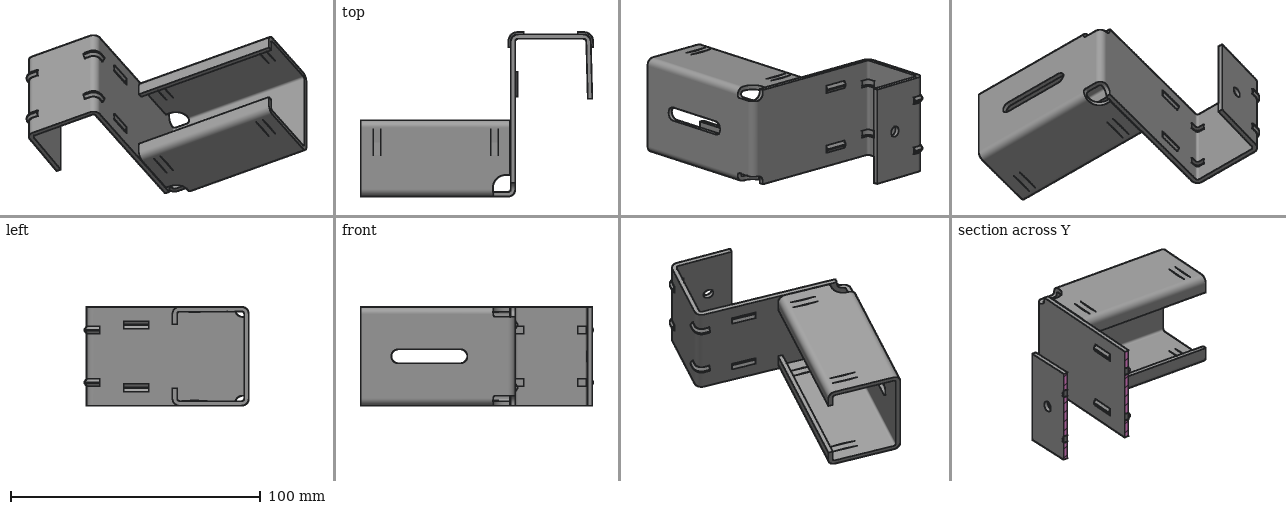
import cadquery as cq
import math

SHEET = 1.9
INNER_BEND = 1.0
OUTER_BEND = INNER_BEND + SHEET
HEIGHT = 39.6
HALF_HEIGHT = HEIGHT / 2

ARM_LENGTH = 60.0
ARM_DEPTH = 30.6
LIP_LENGTH = 7.0
FLANGE_GAP = 0.2

WALL_OUTSIDE = ARM_LENGTH
WALL_INSIDE = WALL_OUTSIDE + SHEET
HOOK_TOP = 65.0
HOOK_WIDTH = 32.16
LEG_LENGTH = 23.0
LEG_TILT = math.radians(1.5)

RELIEF_START = 53.0
RELIEF_LEVEL = HALF_HEIGHT - 4.0
STRIP_NOTCH_RADIUS = 1.0
FLANGE_RELIEF_DEPTH = 8.6
FLANGE_RELIEF_RADIUS = 5.0
WALL_NOTCH_DEPTH = 5.5
WALL_NOTCH_RADIUS = 3.1

SLOT_CENTER_X = 27.5
SLOT_LENGTH = 30.3
SLOT_WIDTH = 5.5

HOLE_DIAMETER = 4.2
HOLE_Y = 49.2

RIB_CREST = 0.4

HOOK_RIB_Z = 10.5
HOOK_RIB_TAIL = 2.4
HOOK_RIB_BASE = 2.9
HOOK_RIB_HEIGHT = 0.92
HOOK_POCKET_SKIN = 0.15

WALL_RIB_Z = 12.55
WALL_RIB_Y = 45.05
WALL_RIB_LENGTH = 10.0
WALL_RIB_BASE = 3.1
WALL_RIB_HEIGHT = 0.88

DENT_X_INSET = 6.5
DENT_Y = 21.75
DENT_WIDTH = 3.0
DENT_LENGTH = 10.3
DENT_DEPTH = 0.3

OVERCUT = 1.0


def block(x_range, y_range, z_range):
    """Box spanning the three given ranges."""
    (x0, x1), (y0, y1), (z0, z1) = x_range, y_range, z_range
    return cq.Workplane("XY").box(x1 - x0, y1 - y0, z1 - z0, centered=False).translate((x0, y0, z0))


def both_halves(shape):
    """The shape together with its mirror image below the mid-plane."""
    return shape.union(shape.mirror("XY"))


def hook_bend_path(side, offset, radius, tail):
    """Line-arc-line path around one hook bend, a distance `offset` inside the outer face.

    Side -1 is the bend at the wall and side +1 the bend at the tilted leg.
    """
    tilt = LEG_TILT if side > 0 else 0.0
    center_x = WALL_OUTSIDE + OUTER_BEND if side < 0 else WALL_OUTSIDE + HOOK_WIDTH - OUTER_BEND
    center_y = HOOK_TOP - OUTER_BEND

    shift = OUTER_BEND - offset - radius
    center_x += side * shift * (1 - math.sin(tilt)) / math.cos(tilt)
    center_y += shift

    def on_arc(angle):
        return center_x + side * radius * math.cos(angle), center_y + radius * math.sin(angle)

    top = on_arc(math.pi / 2)
    middle = on_arc((math.pi / 2 + tilt) / 2)
    leg = on_arc(tilt)
    top_end = (top[0] - side * tail, top[1])
    leg_end = (leg[0] + side * tail * math.sin(tilt), leg[1] - tail * math.cos(tilt))
    return top_end, top, middle, leg, leg_end


def make_sheet():
    """Front strip, wall and hook as one bent strip of constant thickness."""
    wall_top, wall_mid, wall_side = hook_bend_path(-1, 0, OUTER_BEND, 0)[1:4]
    leg_top, leg_mid, leg_side, leg_end = hook_bend_path(1, 0, OUTER_BEND, LEG_LENGTH)[1:]
    in_leg_top, in_leg_mid, in_leg_side, in_leg_end = hook_bend_path(1, SHEET, INNER_BEND, LEG_LENGTH)[1:]
    in_wall_top, in_wall_mid, in_wall_side = hook_bend_path(-1, SHEET, INNER_BEND, 0)[1:4]
    foot_x = WALL_INSIDE - OUTER_BEND
    foot_y = OUTER_BEND
    diagonal = math.sqrt(0.5)
    return (
        cq.Workplane("XY")
        .workplane(offset=-HALF_HEIGHT)
        .moveTo(RELIEF_START, 0)
        .lineTo(foot_x, 0)
        .threePointArc(
            (foot_x + OUTER_BEND * diagonal, foot_y - OUTER_BEND * diagonal),
            (WALL_INSIDE, foot_y),
        )
        .lineTo(*in_wall_side)
        .threePointArc(in_wall_mid, in_wall_top)
        .lineTo(*in_leg_top)
        .threePointArc(in_leg_mid, in_leg_side)
        .lineTo(*in_leg_end)
        .lineTo(*leg_end)
        .lineTo(*leg_side)
        .threePointArc(leg_mid, leg_top)
        .lineTo(*wall_top)
        .threePointArc(wall_mid, wall_side)
        .lineTo(WALL_OUTSIDE, foot_y)
        .threePointArc(
            (foot_x + INNER_BEND * diagonal, foot_y - INNER_BEND * diagonal),
            (foot_x, SHEET),
        )
        .lineTo(RELIEF_START, SHEET)
        .close()
        .extrude(HEIGHT)
    )


def make_arm():
    """C-shaped channel with inward lips and a relieved end next to the wall."""
    flange_end = ARM_LENGTH - FLANGE_GAP
    inner_half = HALF_HEIGHT - SHEET
    outer = block((0, flange_end), (0, ARM_DEPTH), (-HALF_HEIGHT, HALF_HEIGHT)).edges("|X").fillet(OUTER_BEND)
    inner = block(
        (-OVERCUT, flange_end + OVERCUT), (SHEET, ARM_DEPTH - SHEET), (-inner_half, inner_half)
    ).edges("|X").fillet(INNER_BEND)
    mouth_half = HALF_HEIGHT - LIP_LENGTH
    mouth = block(
        (-OVERCUT, flange_end + OVERCUT),
        (ARM_DEPTH / 2, ARM_DEPTH + OVERCUT),
        (-mouth_half, mouth_half),
    )
    flange_relief = block(
        (RELIEF_START, ARM_LENGTH),
        (-OVERCUT, FLANGE_RELIEF_DEPTH),
        (HALF_HEIGHT - OUTER_BEND, HALF_HEIGHT + OVERCUT),
    ).edges("|Z and <X and >Y").fillet(FLANGE_RELIEF_RADIUS)
    end_trim = block(
        (RELIEF_START, ARM_LENGTH),
        (-OVERCUT, OUTER_BEND),
        (-HALF_HEIGHT, HALF_HEIGHT),
    )
    return outer.cut(inner).cut(mouth).cut(both_halves(flange_relief)).cut(end_trim)


def make_corner_notches():
    """Cutters lowering the front strip and the foot of the wall at both edges."""
    z_range = (RELIEF_LEVEL, HALF_HEIGHT + OVERCUT)
    strip_notch = block(
        (RELIEF_START, WALL_OUTSIDE), (-OVERCUT, OUTER_BEND), z_range
    ).edges("|Y and <X and <Z").fillet(STRIP_NOTCH_RADIUS)
    wall_notch = block(
        (WALL_INSIDE - OUTER_BEND, WALL_INSIDE + OVERCUT), (-OVERCUT, WALL_NOTCH_DEPTH), z_range
    ).edges("|X and >Y and <Z").fillet(WALL_NOTCH_RADIUS)
    return both_halves(strip_notch.union(wall_notch))


def rib_section(workplane, base, height):
    """Trapezoid with its base on local y = 0 and its crest at the given height."""
    return workplane.polyline(
        [
            (-base / 2, 0),
            (base / 2, 0),
            (RIB_CREST / 2, height),
            (-RIB_CREST / 2, height),
        ]
    ).close()


def path_wire(points):
    """Line-arc-line wire through the points of a hook bend path."""
    start, top, middle, leg, end = points
    return cq.Workplane("XY").moveTo(*start).lineTo(*top).threePointArc(middle, leg).lineTo(*end)


def make_hook_rib(side):
    """Ridge standing proud around the outside of one hook bend, at mid-height."""
    path = hook_bend_path(side, 0, OUTER_BEND, HOOK_RIB_TAIL)
    start_x, start_y = path[0]
    plane = cq.Plane(origin=(start_x, start_y, 0), xDir=(0, 0, side), normal=(-side, 0, 0))
    return rib_section(cq.Workplane(plane), HOOK_RIB_BASE, HOOK_RIB_HEIGHT).sweep(path_wire(path))


def make_hook_pocket(side):
    """Square-sided groove following the inside of one hook bend, at mid-height."""
    back = hook_bend_path(side, HOOK_POCKET_SKIN, OUTER_BEND - HOOK_POCKET_SKIN, HOOK_RIB_TAIL)
    front = hook_bend_path(side, SHEET + OVERCUT / 2, INNER_BEND / 2, HOOK_RIB_TAIL)
    return (
        path_wire(back)
        .lineTo(*front[4])
        .lineTo(*front[3])
        .threePointArc(front[2], front[1])
        .lineTo(*front[0])
        .close()
        .extrude(HOOK_RIB_BASE / 2, both=True)
    )


def make_wall_rib(face_x):
    """Trapezoidal bar along Y rising in +X from the plane x = face_x."""
    plane = cq.Plane(
        origin=(face_x, WALL_RIB_Y - WALL_RIB_LENGTH / 2, 0), xDir=(0, 0, 1), normal=(0, 1, 0)
    )
    return rib_section(cq.Workplane(plane), WALL_RIB_BASE, WALL_RIB_HEIGHT).extrude(WALL_RIB_LENGTH)


def make_dent(x, face_z):
    """Shallow wedge below the plane z = face_z with its keel across the flange at DENT_Y."""
    half = DENT_LENGTH / 2
    return (
        cq.Workplane("YZ")
        .workplane(offset=x - DENT_WIDTH / 2)
        .polyline([(DENT_Y - half, face_z), (DENT_Y + half, face_z), (DENT_Y, face_z - DENT_DEPTH)])
        .close()
        .extrude(DENT_WIDTH)
    )


def make_panel_slot():
    """Cutter for the oblong slot through the front panel."""
    return (
        cq.Workplane("XZ")
        .center(SLOT_CENTER_X, 0)
        .slot2D(SLOT_LENGTH, SLOT_WIDTH)
        .extrude(-SHEET)
    )


def make_leg_hole():
    """Cutter along X for the round hole, starting inside the hook and passing the leg."""
    return (
        cq.Workplane("YZ")
        .workplane(offset=WALL_INSIDE + HOOK_WIDTH / 2)
        .center(HOLE_Y, 0)
        .circle(HOLE_DIAMETER / 2)
        .extrude(HOOK_WIDTH)
    )


result = make_arm().union(make_sheet()).cut(make_corner_notches())
result = result.cut(make_panel_slot()).cut(make_leg_hole())

for level in (-HOOK_RIB_Z, HOOK_RIB_Z):
    for side in (-1, 1):
        result = result.union(make_hook_rib(side).translate((0, 0, level)))
        result = result.cut(make_hook_pocket(side).translate((0, 0, level)))

for level in (-WALL_RIB_Z, WALL_RIB_Z):
    result = result.union(make_wall_rib(WALL_INSIDE).translate((0, 0, level)))
    result = result.cut(make_wall_rib(WALL_OUTSIDE).translate((0, 0, level)))

for dent_x in (DENT_X_INSET, ARM_LENGTH - DENT_X_INSET):
    result = result.union(both_halves(make_dent(dent_x, HALF_HEIGHT - SHEET)))
    result = result.cut(both_halves(make_dent(dent_x, HALF_HEIGHT)))